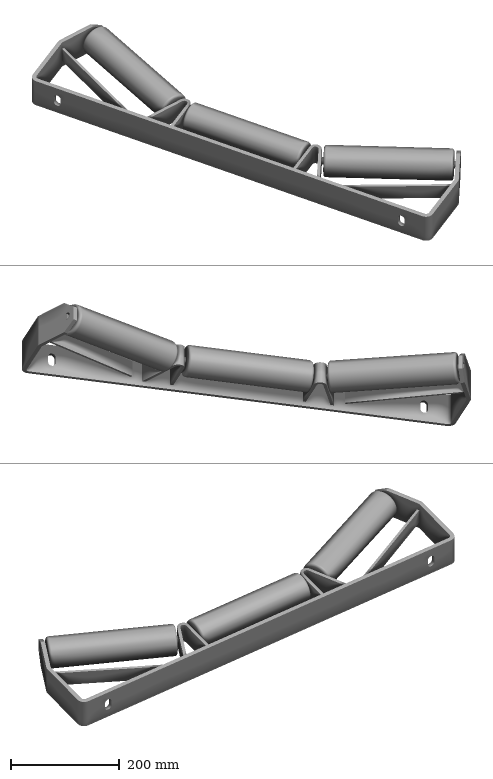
import cadquery as cq
import math

FRAME_LENGTH = 830.0
FRAME_DEPTH = 208.0
FRAME_HEIGHT = 60.0
STRAP = 8.0
BEND_RADIUS = 14.0
LEAN = math.radians(25)
TIP_TAPER_LENGTH = 26.5
TIP_TAPER_DEPTH = 17.0
AXLE_SLOT_LENGTH = 21.0

MOUNT_SLOT_X = 357.0
MOUNT_SLOT_WIDTH = 14.0
MOUNT_SLOT_LENGTH = 25.0

ROLLER_LENGTH = 240.0
ROLLER_RADIUS = 30.0
ROLLER_ROUND = 5.0
ROLLER_GAP = 4.0
AXLE_RADIUS = 7.05
MIDDLE_AXIS_Y = 71.0
SIDE_AXIS_DROP = 10.0

BRACKET_PLATE = 6.0
BRACKET_TOP_Y = 94.0
BRACKET_HEIGHT = 41.5
BRACKET_BEND = 2 * BRACKET_PLATE

BRACE_THICKNESS = 5.0
BRACE_HEIGHT = 30.0
BRACE_ANGLE = math.radians(28)
BRACE_FOOT_X = -206.0

UP = (math.sin(LEAN), math.cos(LEAN))
INWARD = (math.cos(LEAN), -math.sin(LEAN))


def shifted(point, direction, distance):
    return (point[0] + direction[0] * distance, point[1] + direction[1] * distance)


MID_Z = FRAME_HEIGHT / 2
WALL_X = -FRAME_LENGTH / 2
WALL_INNER_X = WALL_X + STRAP
LEG_SPAN = ROLLER_LENGTH + 2 * ROLLER_GAP
BRACKET_X = -LEG_SPAN / 2
BRACKET_BEND_CENTRE = (BRACKET_X - BRACKET_BEND, BRACKET_TOP_Y - BRACKET_BEND)
LEG_TANGENT = shifted(BRACKET_BEND_CENTRE, INWARD, -BRACKET_BEND)

BRACKET_SEAT = shifted(LEG_TANGENT, UP, -SIDE_AXIS_DROP)
SIDE_CENTRE = shifted(BRACKET_SEAT, INWARD, -LEG_SPAN / 2)
FLANGE_SEAT = shifted(BRACKET_SEAT, INWARD, -LEG_SPAN - STRAP)

FLANGE_BEND = (WALL_X, FLANGE_SEAT[1] - (FLANGE_SEAT[0] - WALL_X) / math.tan(LEAN))
FLANGE_TIP = shifted(FLANGE_BEND, UP, (FRAME_DEPTH - FLANGE_BEND[1]) / math.cos(LEAN))


def mirrored(body):
    return body.mirror("YZ")


def leaning_plane(point):
    """Plane on a leaning plate's face: local X runs up the plate, local Y along Z."""
    return cq.Plane(origin=(*point, MID_Z), xDir=(*UP, 0), normal=(*INWARD, 0))


def round_bend(body, corner, radius):
    nearest = cq.selectors.NearestToPointSelector((*corner, MID_Z))
    return body.edges("|Z").edges(nearest).fillet(radius)


def make_tip_wedges():
    """The two corners cut off the flange so that it narrows towards its tip."""
    wedges = cq.Workplane(leaning_plane(FLANGE_TIP))
    for side in (1, -1):
        corner = (0, side * MID_Z)
        taper_start = (-TIP_TAPER_LENGTH, side * MID_Z)
        taper_end = (0, side * (MID_Z - TIP_TAPER_DEPTH))
        wedges = wedges.polyline([corner, taper_start, taper_end]).close()
    return wedges.extrude(STRAP)


def make_axle_slot():
    """Slot in the flange, with the axle resting in its lower end."""
    return (
        cq.Workplane(leaning_plane(FLANGE_SEAT))
        .center(AXLE_SLOT_LENGTH / 2 - AXLE_RADIUS, 0)
        .slot2D(AXLE_SLOT_LENGTH, 2 * AXLE_RADIUS)
        .extrude(STRAP)
    )


def make_mount_slot():
    return (
        cq.Workplane("XZ", origin=(-MOUNT_SLOT_X, 0, MID_Z))
        .slot2D(MOUNT_SLOT_LENGTH, MOUNT_SLOT_WIDTH, 90)
        .extrude(-STRAP)
    )


def make_frame():
    outer_corner = (WALL_X, 0)
    inner_corner = (WALL_INNER_X, STRAP)
    inner_bend = (WALL_INNER_X, FLANGE_BEND[1] - STRAP * math.tan(LEAN / 2))
    inner_tip = shifted(FLANGE_TIP, INWARD, STRAP)
    outer_points = [(0, 0), outer_corner, FLANGE_BEND, FLANGE_TIP]
    inner_points = [inner_tip, inner_bend, inner_corner, (0, STRAP)]
    half = cq.Workplane("XY").polyline(outer_points + inner_points).close().extrude(FRAME_HEIGHT)
    for corner in (outer_corner, FLANGE_BEND):
        half = round_bend(half, corner, BEND_RADIUS)
    for corner in (inner_corner, inner_bend):
        half = round_bend(half, corner, BEND_RADIUS - STRAP)
    for cutter in (make_tip_wedges(), make_axle_slot(), make_mount_slot()):
        half = half.cut(cutter)
    return half.union(mirrored(half))


def make_bracket():
    """Plate bent over its top, with one upright leg and one leaning leg standing on the base."""
    centre_x, centre_y = BRACKET_BEND_CENTRE
    inner_radius = BRACKET_BEND - BRACKET_PLATE
    inner_tangent = shifted(BRACKET_BEND_CENTRE, INWARD, -inner_radius)
    outer_leg = (LEG_TANGENT[1] - STRAP) / math.cos(LEAN)
    inner_leg = (inner_tangent[1] - STRAP) / math.cos(LEAN)
    plate = (
        cq.Workplane("XY", origin=(0, 0, MID_Z))
        .moveTo(BRACKET_X, STRAP)
        .lineTo(BRACKET_X, centre_y)
        .threePointArc((centre_x, BRACKET_TOP_Y), LEG_TANGENT)
        .lineTo(*shifted(LEG_TANGENT, UP, -outer_leg))
        .lineTo(*shifted(inner_tangent, UP, -inner_leg))
        .lineTo(*inner_tangent)
        .threePointArc((centre_x, centre_y + inner_radius), (centre_x + inner_radius, centre_y))
        .lineTo(BRACKET_X - BRACKET_PLATE, STRAP)
        .close()
        .extrude(BRACKET_HEIGHT / 2, both=True)
    )
    side_hole = cq.Workplane(leaning_plane(BRACKET_SEAT)).circle(AXLE_RADIUS).extrude(BRACKET_PLATE)
    middle_hole = (
        cq.Workplane("YZ", origin=(BRACKET_X, MIDDLE_AXIS_Y, MID_Z))
        .circle(AXLE_RADIUS)
        .extrude(-BRACKET_PLATE)
    )
    return plate.cut(side_hole).cut(middle_hole)


def make_roller(centre, direction, start_plate, end_plate):
    """Drum and axle along a direction; the axle ends flush with the far faces of both plates."""
    middle = cq.Workplane(cq.Plane(origin=(*centre, MID_Z), xDir=(0, 0, 1), normal=(*direction, 0)))
    drum = (
        middle.workplane(offset=-ROLLER_LENGTH / 2)
        .circle(ROLLER_RADIUS)
        .extrude(ROLLER_LENGTH)
        .edges("%CIRCLE")
        .fillet(ROLLER_ROUND)
    )
    axle = (
        middle.workplane(offset=-LEG_SPAN / 2 - start_plate)
        .circle(AXLE_RADIUS)
        .extrude(start_plate + LEG_SPAN + end_plate)
    )
    return drum.union(axle)


def make_brace():
    """Square-ended bar whose lower corners touch the base and the side wall."""
    along = (-math.cos(BRACE_ANGLE), math.sin(BRACE_ANGLE))
    across = (math.sin(BRACE_ANGLE), math.cos(BRACE_ANGLE))
    length = (BRACE_FOOT_X - WALL_INNER_X) / math.cos(BRACE_ANGLE)
    foot = (BRACE_FOOT_X, STRAP)
    head = shifted(foot, along, length)
    upper_head = shifted(head, across, BRACE_THICKNESS)
    upper_foot = shifted(foot, across, BRACE_THICKNESS)
    return (
        cq.Workplane("XY", origin=(0, 0, MID_Z))
        .polyline([foot, head, upper_head, upper_foot])
        .close()
        .extrude(BRACE_HEIGHT / 2, both=True)
    )


frame = make_frame()
middle_roller = make_roller((0, MIDDLE_AXIS_Y), (1, 0), BRACKET_PLATE, BRACKET_PLATE)
side_roller = make_roller(SIDE_CENTRE, INWARD, STRAP, BRACKET_PLATE)
bracket = make_bracket()
brace = make_brace()

bodies = [frame.val(), middle_roller.val()]
for left_body in (side_roller, bracket, brace):
    bodies.append(left_body.val())
    bodies.append(mirrored(left_body).val())

result = cq.Compound.makeCompound(bodies)